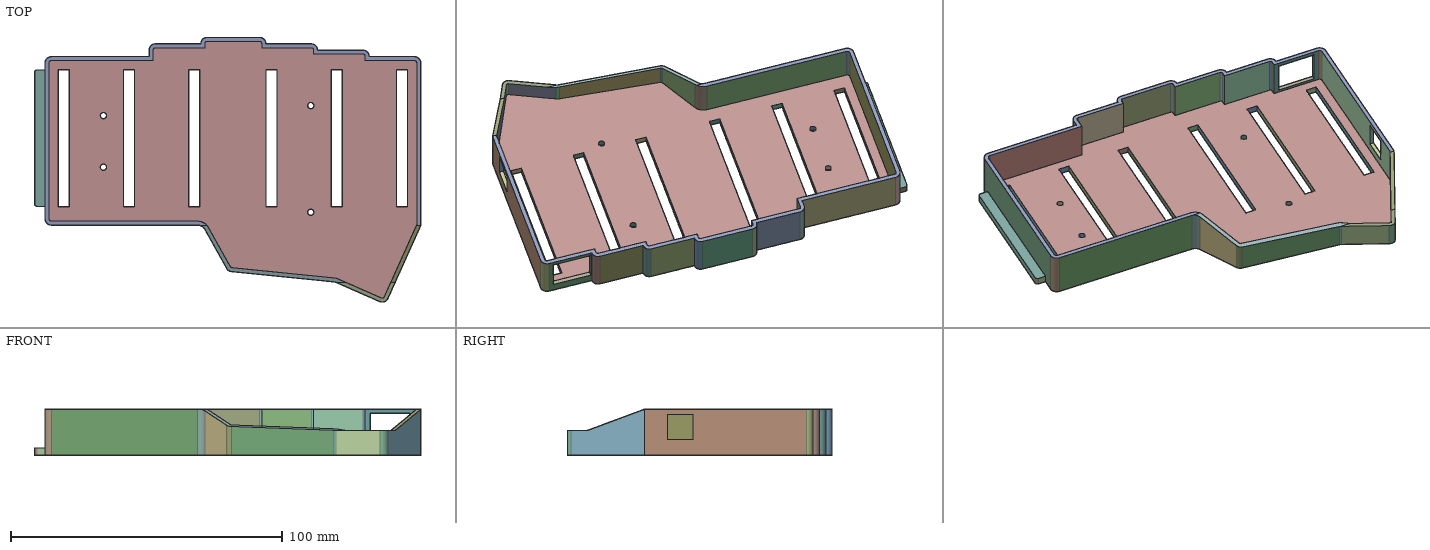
import cadquery as cq
import math

tray_width = 138.6
main_depth = 62.2
total_height = 17.0
wall = 1.5
floor_thickness = 2.5

column_pitch = 19.05
rear_step = 2.35
right_steps = 3
left_step_x = 38.4
right_step_x = tray_width - column_pitch

front_wall_end = 58.1
thumb_left = (67.6, -17.0)
thumb_bend = (107.0, -20.95)
thumb_tip = (125.5, -29.09)

corner_radius = 2.5
step_radius = 2.3
inside_bend_radius = 3.0
thumb_radius = 2.3

low_wall_height = 9.2
slope_end_y = -21.0

rail_width = 3.8
rail_height = 2.8
rail_corner_radius = 1.0

slot_width = 4.0
slot_length = 50.4
slot_center_y = 32.1
slot_pitch = 24.05
slot_group_starts = (6.95, 83.5)
slots_per_group = 3

hole_diameter = 2.2
hole_centers = [(21.6, 40.4), (21.6, 21.4), (98.0, 44.1), (98.0, 4.8)]

rear_window_x = (120.0, 134.4)
rear_window_z = (3.5, 15.5)
side_window_y = (8.6, 18.0)
side_window_z = (5.8, 15.1)


def rounded_outline(corners):
    """Closed outline through (x, y, radius) corners, each rounded by a tangent arc."""
    arcs = []
    for i, (x, y, radius) in enumerate(corners):
        corner = cq.Vector(x, y)
        before = cq.Vector(*corners[i - 1][:2])
        after = cq.Vector(*corners[(i + 1) % len(corners)][:2])
        to_before = (before - corner).normalized()
        to_after = (after - corner).normalized()
        half_angle = to_before.getAngle(to_after) / 2
        tangent_length = radius / math.tan(half_angle)
        bisector = (to_before + to_after).normalized()
        mid_distance = radius / math.sin(half_angle) - radius
        start = corner + to_before * tangent_length
        middle = corner + bisector * mid_distance
        end = corner + to_after * tangent_length
        arcs.append((start, middle, end, radius))

    outline = cq.Workplane("XY").moveTo(arcs[0][2].x, arcs[0][2].y)
    for start, middle, end, radius in arcs[1:] + arcs[:1]:
        outline = outline.lineTo(start.x, start.y)
        if radius > 0:
            outline = outline.threePointArc(middle.toTuple()[:2], end.toTuple()[:2])
    return outline.wire()


def tray_corners():
    """Outer wall corners, counterclockwise from the front left."""
    front = [
        (0, 0, corner_radius),
        (front_wall_end, 0, inside_bend_radius),
        (*thumb_left, thumb_radius),
        (*thumb_bend, thumb_radius),
        (*thumb_tip, thumb_radius),
        (tray_width, 0, 0),
        (tray_width, main_depth, corner_radius),
    ]
    rear = []
    y = main_depth
    for step in range(right_steps):
        x = right_step_x - step * column_pitch
        rear.append((x, y, 0))
        y += rear_step
        rear.append((x, y, step_radius))
    second_step_y = y - rear_step
    rear += [
        (left_step_x + column_pitch, y, step_radius),
        (left_step_x + column_pitch, second_step_y, 0),
        (left_step_x, second_step_y, step_radius),
        (left_step_x, main_depth, 0),
        (0, main_depth, corner_radius),
    ]
    return front + rear


def box(x_range, y_range, z_range):
    """Axis-aligned box between the given limits."""
    size = [limits[1] - limits[0] for limits in (x_range, y_range, z_range)]
    corner = (x_range[0], y_range[0], z_range[0])
    return cq.Workplane("XY").box(*size, centered=False).translate(corner)


def make_shell():
    """Open-topped tray with an even wall and a flat floor."""
    corners = tray_corners()
    body = rounded_outline(corners).extrude(total_height)
    cavity = rounded_outline(corners).offset2D(-wall, "intersection").extrude(total_height)
    return body.cut(cavity.translate((0, 0, floor_thickness)))


def make_slope_cutter():
    """Material above the sloped, then level, top of the front extension, to be removed."""
    beyond_front = 2 * slope_end_y
    profile = [
        (0, total_height),
        (slope_end_y, low_wall_height),
        (beyond_front, low_wall_height),
        (beyond_front, total_height),
    ]
    return cq.Workplane("YZ").polyline(profile).close().extrude(tray_width)


def make_rail():
    """Low rail along the left wall, reaching into the wall so that they join."""
    rail = box(
        (-rail_width, wall),
        (slot_center_y - slot_length / 2, slot_center_y + slot_length / 2),
        (0, rail_height),
    )
    return rail.edges("|Z and <X").fillet(rail_corner_radius)


def make_floor_openings():
    """Two groups of long slots and the screw holes, all through the floor."""
    slot_centers = [
        (start + i * slot_pitch, slot_center_y)
        for start in slot_group_starts
        for i in range(slots_per_group)
    ]
    slots = (
        cq.Workplane("XY").pushPoints(slot_centers)
        .rect(slot_width, slot_length).extrude(floor_thickness)
    )
    holes = (
        cq.Workplane("XY").pushPoints(hole_centers)
        .circle(hole_diameter / 2).extrude(floor_thickness)
    )
    return slots.union(holes)


def make_windows():
    """Rectangular openings through the rear wall and the right wall."""
    rear = box(rear_window_x, (main_depth - wall, main_depth), rear_window_z)
    side = box((tray_width - wall, tray_width), side_window_y, side_window_z)
    return rear.union(side)


result = (
    make_shell()
    .cut(make_slope_cutter())
    .union(make_rail())
    .cut(make_floor_openings())
    .cut(make_windows())
)